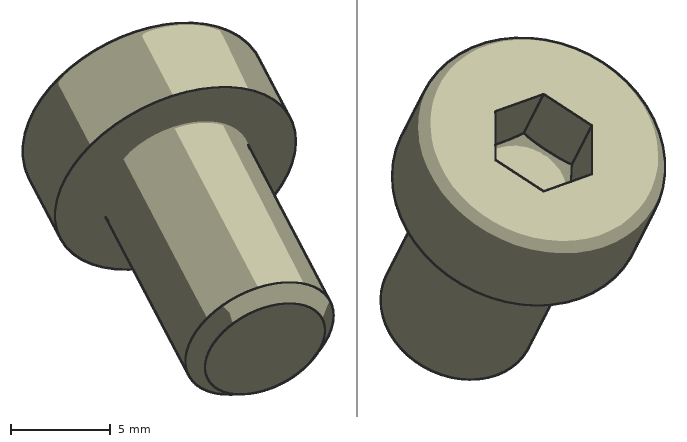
import cadquery as cq
import math

total_length = 17.0
head_diameter = 13.0
head_height = 5.0
head_edge_radius = 0.8
shank_diameter = 8.0
neck_radius = 0.1
tip_chamfer_length = 0.73
tip_chamfer_height = 0.76
socket_width = 5.0
socket_depth = 4.0
socket_floor_radius = 2.07
socket_bottom_radius = 1.53

head_face_x = -total_length / 2
shoulder_x = head_face_x + head_height
tip_x = total_length / 2
head_radius = head_diameter / 2
shank_radius = shank_diameter / 2
diagonal = math.sqrt(0.5)


def screw_body():
    """Revolve the half section of head and shank about the X axis."""
    head_arc_middle = (
        head_face_x + head_edge_radius * (1 - diagonal),
        head_radius - head_edge_radius * (1 - diagonal),
    )
    neck_arc_middle = (
        shoulder_x + neck_radius * (1 - diagonal),
        shank_radius + neck_radius * (1 - diagonal),
    )
    section = (
        cq.Workplane("XY")
        .moveTo(head_face_x, 0)
        .lineTo(head_face_x, head_radius - head_edge_radius)
        .threePointArc(head_arc_middle, (head_face_x + head_edge_radius, head_radius))
        .lineTo(shoulder_x, head_radius)
        .lineTo(shoulder_x, shank_radius + neck_radius)
        .threePointArc(neck_arc_middle, (shoulder_x + neck_radius, shank_radius))
        .lineTo(tip_x - tip_chamfer_length, shank_radius)
        .lineTo(tip_x, shank_radius - tip_chamfer_height)
        .lineTo(tip_x, 0)
        .close()
    )
    return section.revolve(360, (0, 0, 0), (1, 0, 0))


def hex_socket():
    """Hexagonal prism, corners at +Z and -Z, whose deep corners are rounded."""
    corner_diameter = socket_width / math.cos(math.radians(30))
    prism = (
        cq.Workplane("YZ", origin=(head_face_x, 0, 0))
        .polygon(6, corner_diameter)
        .extrude(socket_depth)
        .rotate((0, 0, 0), (1, 0, 0), 30)
    )
    floor_x = head_face_x + socket_depth
    rim_x = floor_x - socket_bottom_radius
    rim_radius = socket_floor_radius + socket_bottom_radius
    arc_middle = (
        rim_x + socket_bottom_radius * diagonal,
        socket_floor_radius + socket_bottom_radius * diagonal,
    )
    envelope = (
        cq.Workplane("XY")
        .moveTo(head_face_x, 0)
        .lineTo(head_face_x, rim_radius)
        .lineTo(rim_x, rim_radius)
        .threePointArc(arc_middle, (floor_x, socket_floor_radius))
        .lineTo(floor_x, 0)
        .close()
        .revolve(360, (0, 0, 0), (1, 0, 0))
    )
    return prism.intersect(envelope)


result = screw_body().cut(hex_socket())